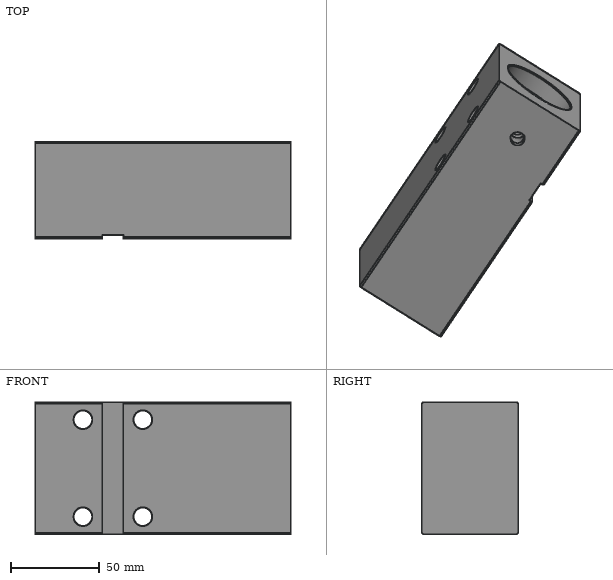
import cadquery as cq

length = 145.0
width = 55.0
height = 75.0
edge_chamfer = 1.0

bore_diameter = 32.0
bore_depth = 123.2
counterbore_diameter = 42.0
counterbore_depth = 10.0
mouth_chamfer = 0.6

port_diameter = 8.0
port_center = 23.0

slot_start = 38.1
slot_width = 11.9
slot_depth = 2.0

bolt_diameter = 10.5
bolt_spacing_x = 34.0
bolt_spacing_z = 55.0

slot_center = slot_start + slot_width / 2


def make_block():
    """Block centred on the X axis, with its four long edges chamfered."""
    block = cq.Workplane("XY").box(length, width, height, centered=(False, True, True))
    return block.edges("|X").chamfer(edge_chamfer)


def make_bore():
    """Blind bore with a counterbore and a chamfered mouth, turned about the X axis."""
    bore_radius = bore_diameter / 2
    counterbore_radius = counterbore_diameter / 2
    profile = cq.Workplane("XY").polyline([
        (0, 0),
        (0, counterbore_radius + mouth_chamfer),
        (mouth_chamfer, counterbore_radius),
        (counterbore_depth, counterbore_radius),
        (counterbore_depth, bore_radius),
        (bore_depth, bore_radius),
        (bore_depth, 0),
    ]).close()
    return profile.revolve(360, (0, 0, 0), (1, 0, 0))


def make_port():
    """Radial hole from the -Z face up to the bore axis."""
    port = cq.Workplane("XY", origin=(port_center, 0, -height / 2)).circle(port_diameter / 2)
    return port.extrude(height / 2)


def make_slot():
    """Shallow slot running the full height of the -Y face."""
    slot = cq.Workplane("XY").box(slot_width, slot_depth, height, centered=(True, False, True))
    return slot.translate((slot_center, -width / 2, 0))


def make_bolt_holes():
    """Four through holes along Y, in a rectangle about the slot centre."""
    holes = cq.Workplane("XZ", origin=(slot_center, 0, 0))
    holes = holes.rarray(bolt_spacing_x, bolt_spacing_z, 2, 2).circle(bolt_diameter / 2)
    return holes.extrude(width / 2, both=True)


result = make_block().cut(make_bore()).cut(make_port()).cut(make_slot()).cut(make_bolt_holes())